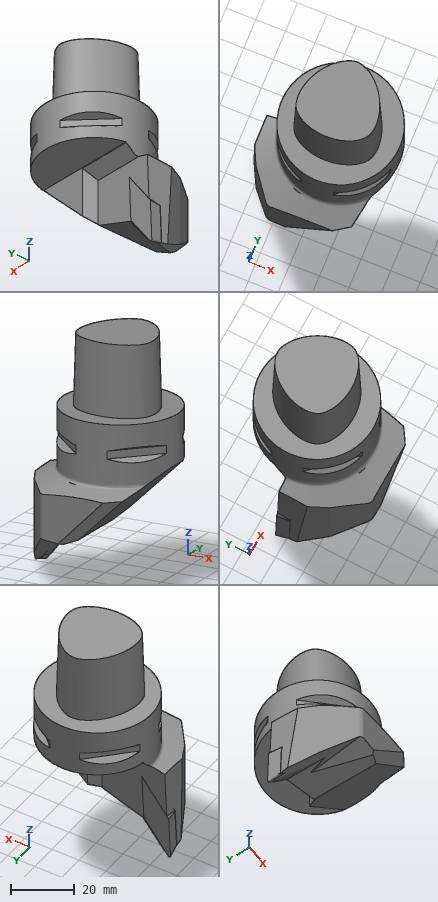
import cadquery as cq
import math

flange_radius = 20.0
shank_height = 24.0
tip_depth = 79 - shank_height
trim_allowance = 3.95
block_floor = -tip_depth - trim_allowance
reach = 47.4

shank_base_mean = 13.8
shank_top_mean = 13.1
shank_lobe = 0.95
outline_steps = 48

neck_end_z = -20.1
cone_start_radius = 20.9
cone_start_z = -21.25
neck_fillet_bulge = (0.2, 0.4)
cone_slope = math.tan(math.radians(15))

groove_middle_z = -10.1
groove_floor_width = 2.6
groove_mouth_width = 5.1
groove_floor_distance = 17.5
groove_overrun = 0.8
groove_angles = (45, 135, 225, 315)

head_front_y = -27.0
head_rear_y = 4.1
flank_corner = (-21.9, -16.5)
flank_slope = 2.07
front_corner_start = (-14.7, -26.1)
front_corner_middle = (-13.9, -26.7)
front_corner_end_x = -12.95
underside_z = -17.0
chip_wall_top_z = -21.3
chip_wall_x = -1.7
chip_wall_angle = 56

left_flank_top = (-23.9, 0)
left_flank_bottom = (-26.5, -55.4)
underside_step = (-16.75, -43.2)
underside_end = (-2.2, -38.0)
back_slope_top = (flange_radius, -16.4)

back_chamfer_point = (13.3, -23.7, -22.9)
back_chamfer_normal = (1, -1.43, -1)
middle_chamfer_point = (-12.9, head_front_y, -38.7)
middle_chamfer_normal = (-0.1, -0.18, -1)
left_chamfer_point = (-22.0, -16.4, -47.4)
left_chamfer_normal = (0.87, -0.2, -1)

insert_side = 16.3
insert_thickness = 4.6
insert_relief_angle = 5.5
insert_tip_radius = 0.5
insert_lean = 2.6
insert_point_angle = 35
insert_corner_x = -27.1


def lobed_outline(mean):
    """Points around a smooth curve whose width is the same in every direction."""
    points = []
    for step in range(outline_steps):
        angle = 2 * math.pi * step / outline_steps
        support = mean + shank_lobe * math.cos(3 * angle)
        slope = -3 * shank_lobe * math.sin(3 * angle)
        x = -support * math.sin(angle) - slope * math.cos(angle)
        y = support * math.cos(angle) - slope * math.sin(angle)
        points.append((x, y))
    return points


def make_shank():
    return (
        cq.Workplane("XY")
        .spline(lobed_outline(shank_base_mean), periodic=True, makeWire=True)
        .workplane(offset=shank_height)
        .spline(lobed_outline(shank_top_mean), periodic=True, makeWire=True)
        .loft(ruled=True)
    )


def make_turned_envelope():
    """Flange cylinder running through a small fillet into the shoulder cone."""
    cone_end_z = cone_start_z - (reach - cone_start_radius) * cone_slope
    fillet_middle = (flange_radius + neck_fillet_bulge[0], cone_start_z + neck_fillet_bulge[1])
    return (
        cq.Workplane("XZ")
        .lineTo(flange_radius, 0)
        .lineTo(flange_radius, neck_end_z)
        .threePointArc(fillet_middle, (cone_start_radius, cone_start_z))
        .lineTo(reach, cone_end_z)
        .lineTo(reach, block_floor)
        .lineTo(0, block_floor)
        .close()
        .revolve(360, (0, 0), (0, 1))
    )


def make_plan_prism():
    """Plan outline of the flange and of the head that stands out from it."""
    flange = cq.Workplane("XY").circle(cone_start_radius).extrude(block_floor)
    flank_start_x = flank_corner[0] + flank_corner[1] / flank_slope
    head = (
        cq.Workplane("XY")
        .moveTo(-reach, 0)
        .lineTo(flank_start_x, 0)
        .lineTo(*flank_corner)
        .lineTo(*front_corner_start)
        .threePointArc(front_corner_middle, (front_corner_end_x, head_front_y))
        .lineTo(flange_radius, head_front_y)
        .lineTo(flange_radius, head_rear_y)
        .lineTo(-reach, head_rear_y)
        .close()
        .extrude(block_floor)
    )
    return flange.union(head)


def make_side_prism():
    """Outline of the tool in the XZ plane: slanted left flank, stepped underside."""
    return (
        cq.Workplane("XZ", origin=(0, reach, 0))
        .moveTo(*left_flank_top)
        .lineTo(*left_flank_bottom)
        .lineTo(*underside_step)
        .lineTo(*underside_end)
        .lineTo(*back_slope_top)
        .lineTo(flange_radius, 0)
        .close()
        .extrude(2 * reach)
    )


def space_outside(point, normal):
    """Large block lying on the outer side of a plane."""
    plane = cq.Plane(origin=point, normal=normal)
    return cq.Workplane(plane).rect(4 * reach, 4 * reach).extrude(2 * reach)


def make_chip_pocket():
    """Space behind the rake plane, with a 45 degree roof and a slanted end wall."""
    rise = underside_z - chip_wall_top_z
    section = (
        cq.Workplane("YZ", origin=(-reach, 0, 0))
        .moveTo(0, block_floor)
        .lineTo(0, chip_wall_top_z)
        .lineTo(rise, underside_z)
        .lineTo(reach, underside_z)
        .lineTo(reach, block_floor)
        .close()
        .extrude(2 * reach)
    )
    wall_run = reach / math.tan(math.radians(chip_wall_angle))
    plan = (
        cq.Workplane("XY")
        .moveTo(-reach, 0)
        .lineTo(chip_wall_x, 0)
        .lineTo(chip_wall_x + wall_run, reach)
        .lineTo(-reach, reach)
        .close()
        .extrude(block_floor)
    )
    return section.intersect(plan)


def make_rear_relief():
    """Space behind the head, below the flange underside."""
    return (
        cq.Workplane("XY", origin=(0, head_rear_y, underside_z))
        .rect(2 * reach, reach)
        .extrude(block_floor)
        .translate((0, reach / 2, 0))
    )


def make_groove(angle):
    half_floor = groove_floor_width / 2
    half_mouth = groove_mouth_width / 2
    slope = (half_mouth - half_floor) / (flange_radius - groove_floor_distance)
    outer_distance = flange_radius + groove_overrun
    half_outer = half_mouth + slope * groove_overrun
    return (
        cq.Workplane("XZ", origin=(0, flange_radius, groove_middle_z))
        .moveTo(groove_floor_distance, -half_floor)
        .lineTo(groove_floor_distance, half_floor)
        .lineTo(outer_distance, half_outer)
        .lineTo(outer_distance, -half_outer)
        .close()
        .extrude(2 * flange_radius)
        .rotate((0, 0, 0), (0, 0, 1), angle)
    )


def make_insert():
    """Sharp rhombic plate, narrowing away from its rake face, with a rounded tip."""
    long_angle = math.radians(90 - insert_lean)
    low_angle = long_angle - math.radians(insert_point_angle)
    half_point = math.radians(insert_point_angle / 2)
    center_rise = insert_tip_radius / math.sin(half_point) * math.sin(long_angle - half_point)
    tip_x = insert_corner_x
    tip_z = -tip_depth - (center_rise - insert_tip_radius)
    long_x = insert_side * math.cos(long_angle)
    long_z = insert_side * math.sin(long_angle)
    low_x = insert_side * math.cos(low_angle)
    low_z = insert_side * math.sin(low_angle)
    return (
        cq.Workplane("XZ")
        .moveTo(tip_x, tip_z)
        .lineTo(tip_x + low_x, tip_z + low_z)
        .lineTo(tip_x + low_x + long_x, tip_z + low_z + long_z)
        .lineTo(tip_x + long_x, tip_z + long_z)
        .close()
        .extrude(insert_thickness, taper=insert_relief_angle)
        .edges("not #Y")
        .edges("<Z")
        .fillet(insert_tip_radius)
    )


def make_holder(insert):
    holder = make_turned_envelope().intersect(make_plan_prism()).intersect(make_side_prism())
    holder = holder.cut(make_rear_relief()).cut(make_chip_pocket())
    holder = holder.cut(space_outside(back_chamfer_point, back_chamfer_normal))
    below_middle = space_outside(middle_chamfer_point, middle_chamfer_normal)
    below_left = space_outside(left_chamfer_point, left_chamfer_normal)
    holder = holder.cut(below_middle.intersect(below_left))
    for angle in groove_angles:
        holder = holder.cut(make_groove(angle))
    return holder.union(make_shank()).cut(insert).solids()


insert = make_insert()
holder = make_holder(insert)
result = cq.Compound.makeCompound([holder.val(), insert.val()])